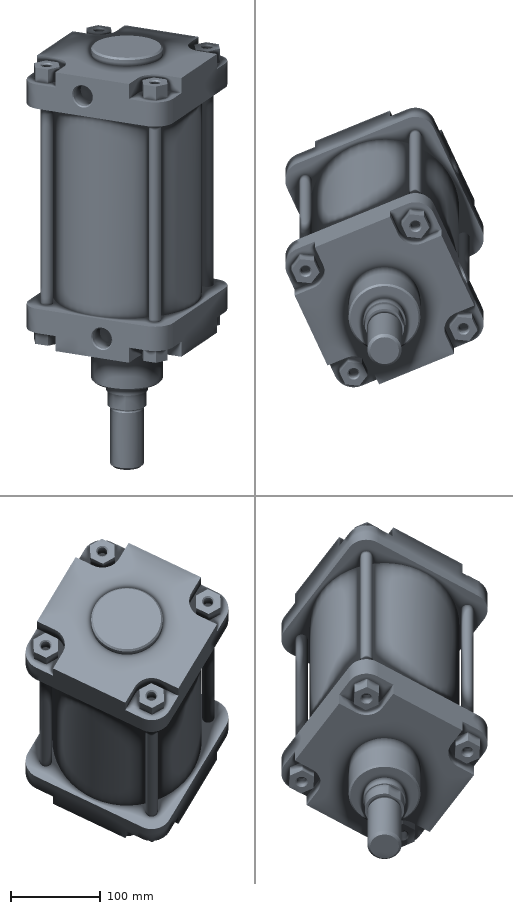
import cadquery as cq
import math

TOTAL_LENGTH = 497.0
END_DISC_HEIGHT = 9.5
CAP_HEIGHT = 46.5
BARREL_LENGTH = 237.5
BOSS_LENGTH = 54.0
REAR_CAP_TOP = TOTAL_LENGTH - END_DISC_HEIGHT
BARREL_TOP = REAR_CAP_TOP - CAP_HEIGHT
BARREL_BOTTOM = BARREL_TOP - BARREL_LENGTH
FRONT_CAP_BOTTOM = BARREL_BOTTOM - CAP_HEIGHT
BOSS_END = FRONT_CAP_BOTTOM - BOSS_LENGTH

CAP_WIDTH = 180.0
TIE_SPACING = 134.5
CORNER_RADIUS = (CAP_WIDTH - TIE_SPACING) / 2
CORNER_POCKET_DEPTH = 18.0
CORNER_POCKET_RADIUS = 21.5
BOSS_DIAMETER = 80.5
BOSS_CHAMFER = 2.0

PORT_DIAMETER = 24.0
PORT_CHAMFER = 1.25
PORT_DEPTH = 20.0
PORT_OFFSET = 12.0
PORT_FROM_BARREL = 23.5

BARREL_DIAMETER = 168.0

TIE_DIAMETER = 14.0
NUT_ACROSS_FLATS = 27.5
NUT_HEIGHT = 16.5
SOCKET_DIAMETER = 11.0
SOCKET_CHAMFER = 1.5
SOCKET_DEPTH = 15.0

COLLAR_DIAMETER = 47.0
COLLAR_LENGTH = 12.0
WRENCH_DIAMETER = 44.0
WRENCH_ACROSS_FLATS = 41.3
WRENCH_LENGTH = 18.0
NECK_LENGTH = 2.5
THREAD_DIAMETER = 38.5
THREAD_TOP_CHAMFER = 1.5
THREAD_END_CHAMFER = 3.0
NECK_DIAMETER = THREAD_DIAMETER - 2 * THREAD_TOP_CHAMFER


def tie_positions():
    """Centres of the four tie rods."""
    half = TIE_SPACING / 2
    return [(sx * half, sy * half) for sx in (-1, 1) for sy in (-1, 1)]


def cylinder(diameter, bottom, height):
    """Upright cylinder on the Z axis."""
    return cq.Workplane("XY").workplane(offset=bottom).circle(diameter / 2).extrude(height)


def corner_pockets():
    """Four rounded corner cutouts that clear the nuts, standing on Z = 0."""
    half_spacing = TIE_SPACING / 2
    pocket_edge = half_spacing - CORNER_POCKET_RADIUS
    pocket_size = CAP_WIDTH / 2 - pocket_edge
    pocket_centre = pocket_edge + pocket_size / 2
    pocket = (
        cq.Workplane("XY")
        .center(pocket_centre, pocket_centre)
        .rect(pocket_size, pocket_size)
        .extrude(CORNER_POCKET_DEPTH)
        .edges("|Z and <X and <Y")
        .fillet(CORNER_POCKET_RADIUS)
    )
    pockets = cq.Workplane("XY")
    for quarter in range(4):
        pockets = pockets.add(pocket.rotate((0, 0, 0), (0, 0, 1), 90 * quarter))
    return pockets.combine()


def port(x):
    """Cutter for a chamfered blind port, its axis at Z = PORT_FROM_BARREL."""
    mouth = cq.Workplane("XZ", origin=(x, -CAP_WIDTH / 2, PORT_FROM_BARREL))
    bore = mouth.circle(PORT_DIAMETER / 2).extrude(-PORT_DEPTH)
    chamfer = (
        mouth.circle(PORT_DIAMETER / 2 + PORT_CHAMFER)
        .workplane(offset=-PORT_CHAMFER)
        .circle(PORT_DIAMETER / 2)
        .loft()
    )
    return bore.union(chamfer)


def end_cap(boss_length):
    """Cap with its barrel face on Z = 0 and its round boss pointing up."""
    block = (
        cq.Workplane("XY")
        .rect(CAP_WIDTH, CAP_WIDTH)
        .extrude(CAP_HEIGHT)
        .edges("|Z")
        .fillet(CORNER_RADIUS)
    )
    boss = cylinder(BOSS_DIAMETER, CAP_HEIGHT, boss_length).faces(">Z").chamfer(BOSS_CHAMFER)
    tie_holes = (
        cq.Workplane("XY").pushPoints(tie_positions()).circle(TIE_DIAMETER / 2).extrude(CAP_HEIGHT)
    )
    pocket_floor = CAP_HEIGHT - CORNER_POCKET_DEPTH
    return (
        block.cut(corner_pockets().translate((0, 0, pocket_floor)))
        .union(boss)
        .cut(tie_holes)
        .cut(port(-PORT_OFFSET))
    )


def rear_cap():
    return end_cap(END_DISC_HEIGHT).translate((0, 0, BARREL_TOP))


def front_cap():
    """Same cap turned over about the Y axis, which moves its port to +X."""
    cap = end_cap(BOSS_LENGTH)
    return cap.rotate((0, 0, 0), (0, 1, 0), 180).translate((0, 0, BARREL_BOTTOM))


def barrel():
    return cylinder(BARREL_DIAMETER, BARREL_BOTTOM, BARREL_LENGTH)


def nut(bottom):
    """Hexagon nut with two corners along X."""
    across_corners = NUT_ACROSS_FLATS / math.cos(math.pi / 6)
    return cq.Workplane("XY").workplane(offset=bottom).polygon(6, across_corners).extrude(NUT_HEIGHT)


def tie_rod():
    """Tie rod on the Z axis with a nut at each end and a socket in each end face."""
    upper_seat = REAR_CAP_TOP - CORNER_POCKET_DEPTH
    lower_seat = FRONT_CAP_BOTTOM + CORNER_POCKET_DEPTH
    rod = cylinder(TIE_DIAMETER, lower_seat, upper_seat - lower_seat)
    rod = rod.union(nut(upper_seat)).union(nut(lower_seat - NUT_HEIGHT))
    for end in (">Z", "<Z"):
        mouth_diameter = SOCKET_DIAMETER + 2 * SOCKET_CHAMFER
        rod = rod.faces(end).workplane(origin=(0, 0, 0)).cskHole(
            SOCKET_DIAMETER, mouth_diameter, 90, depth=SOCKET_DEPTH
        )
    return rod


def piston_rod():
    """Stepped rod hanging from the boss, with two wrench flats facing -Y and +Y."""
    collar_end = BOSS_END - COLLAR_LENGTH
    wrench_end = collar_end - WRENCH_LENGTH
    thread_top = wrench_end - NECK_LENGTH
    flats = (
        cq.Workplane("XY")
        .workplane(offset=wrench_end)
        .rect(WRENCH_DIAMETER, WRENCH_ACROSS_FLATS)
        .extrude(WRENCH_LENGTH)
    )
    thread = (
        cylinder(THREAD_DIAMETER, 0, thread_top)
        .faces(">Z")
        .chamfer(THREAD_TOP_CHAMFER)
        .faces("<Z")
        .chamfer(THREAD_END_CHAMFER)
    )
    return (
        cylinder(COLLAR_DIAMETER, collar_end, COLLAR_LENGTH)
        .union(cylinder(WRENCH_DIAMETER, wrench_end, WRENCH_LENGTH).intersect(flats))
        .union(cylinder(NECK_DIAMETER, thread_top, NECK_LENGTH))
        .union(thread)
    )


tie_rods = [tie_rod().translate((x, y, 0)) for x, y in tie_positions()]

result = cq.Compound.makeCompound([
    rear_cap().val(),
    front_cap().val(),
    barrel().val(),
    piston_rod().val(),
    *[rod.val() for rod in tie_rods],
])